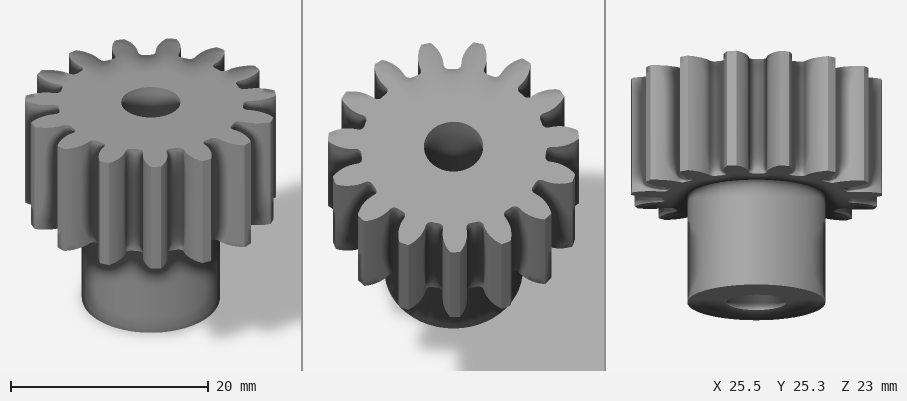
import cadquery as cq
import math

TOOTH_COUNT = 15
PRESSURE_ANGLE = math.radians(20)
OVERALL_WIDTH = 25.45
DEDENDUM_FACTOR = 1.25


def involute(angle):
    return math.tan(angle) - angle


PITCH_HALF_ANGLE = math.pi / (2 * TOOTH_COUNT)
BASE_HALF_ANGLE = PITCH_HALF_ANGLE + involute(PRESSURE_ANGLE)
TIP_PRESSURE_ANGLE = math.acos(TOOTH_COUNT * math.cos(PRESSURE_ANGLE) / (TOOTH_COUNT + 2))
TIP_HALF_ANGLE = BASE_HALF_ANGLE - involute(TIP_PRESSURE_ANGLE)

TOOTH_PITCH_ANGLE = 2 * math.pi / TOOTH_COUNT
WIDEST_CORNER_ANGLE = TOOTH_PITCH_ANGLE / 4 - TIP_HALF_ANGLE
TIP_RADIUS = OVERALL_WIDTH / 2 / math.cos(WIDEST_CORNER_ANGLE)
MODULE = 2 * TIP_RADIUS / (TOOTH_COUNT + 2)
PITCH_RADIUS = MODULE * TOOTH_COUNT / 2
ROOT_RADIUS = PITCH_RADIUS - DEDENDUM_FACTOR * MODULE
ROOT_FILLET = 0.55
GEAR_WIDTH = 12.0

HUB_DIAMETER = 14.0
HUB_LENGTH = 11.0
BORE_DIAMETER = 6.0

FIRST_TOOTH_ANGLE = math.radians(-90)


def polar(radius, angle):
    return (radius * math.cos(angle), radius * math.sin(angle))


def turn(point, angle):
    """Rotate a point about the gear axis."""
    x, y = point
    return polar(math.hypot(x, y), math.atan2(y, x) + angle)


def mirror(point):
    """Reflect a point across the tooth centreline, which lies along +X."""
    return (point[0], -point[1])


def root_fillet():
    """Start, middle and end of the arc blending a radial flank into the root circle."""
    center_radius = ROOT_RADIUS + ROOT_FILLET
    root_angle = BASE_HALF_ANGLE + math.asin(ROOT_FILLET / center_radius)
    center_x, center_y = polar(center_radius, root_angle)
    start = polar(math.sqrt(center_radius**2 - ROOT_FILLET**2), BASE_HALF_ANGLE)
    end = polar(ROOT_RADIUS, root_angle)
    flank_direction = BASE_HALF_ANGLE - math.pi / 2
    axis_direction = root_angle - math.pi
    dx, dy = polar(ROOT_FILLET, (flank_direction + axis_direction) / 2)
    return start, (center_x + dx, center_y + dy), end


def gear_outline():
    """Closed tooth outline, drawn counterclockwise tooth by tooth."""
    fillet_start, fillet_middle, fillet_end = root_fillet()
    flank_middle = polar(PITCH_RADIUS, PITCH_HALF_ANGLE)
    flank_end = polar(TIP_RADIUS, TIP_HALF_ANGLE)
    gap_middle = polar(ROOT_RADIUS, TOOTH_PITCH_ANGLE / 2)
    next_fillet_end = turn(mirror(fillet_end), TOOTH_PITCH_ANGLE)

    tooth_arcs = [
        (mirror(fillet_middle), mirror(fillet_start)),
        (mirror(flank_middle), mirror(flank_end)),
        (polar(TIP_RADIUS, 0), flank_end),
        (flank_middle, fillet_start),
        (fillet_middle, fillet_end),
        (gap_middle, next_fillet_end),
    ]
    outline = cq.Workplane("XY").moveTo(*turn(mirror(fillet_end), FIRST_TOOTH_ANGLE))
    for tooth in range(TOOTH_COUNT):
        angle = FIRST_TOOTH_ANGLE + tooth * TOOTH_PITCH_ANGLE
        for middle, end in tooth_arcs:
            outline = outline.threePointArc(turn(middle, angle), turn(end, angle))
    return outline.close()


def make_pinion():
    """Gear standing on its hub, bored through along the axis."""
    gear = gear_outline().extrude(GEAR_WIDTH)
    hub = cq.Workplane("XY").circle(HUB_DIAMETER / 2).extrude(-HUB_LENGTH)
    bore = (
        cq.Workplane("XY")
        .workplane(offset=-HUB_LENGTH)
        .circle(BORE_DIAMETER / 2)
        .extrude(HUB_LENGTH + GEAR_WIDTH)
    )
    return gear.union(hub).cut(bore)


result = make_pinion()